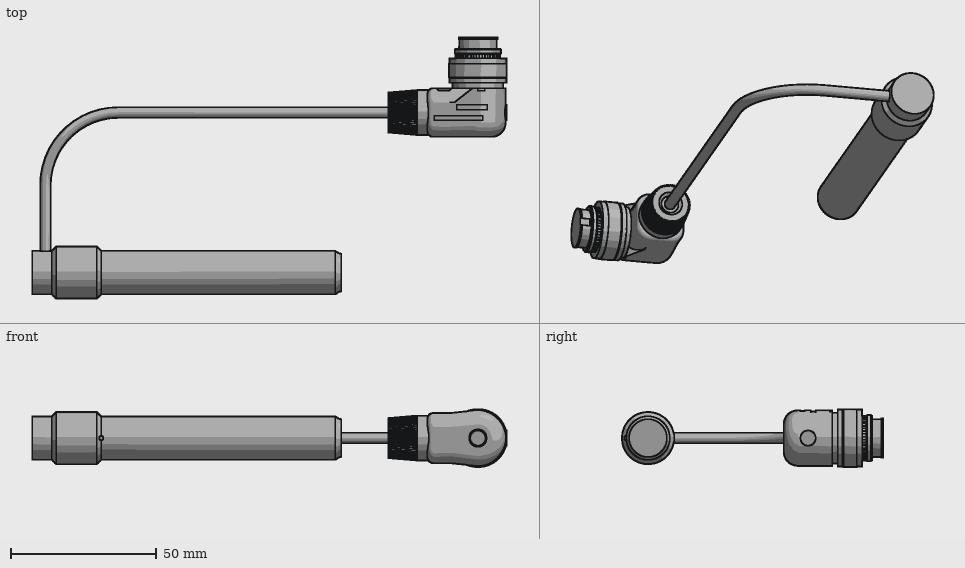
import cadquery as cq
import math

SENSOR_LENGTH = 106.3
SENSOR_DIA = 15.0
SENSOR_TIP_DIA = 13.0
SENSOR_TIP_LENGTH = 2.0
SENSOR_TIP_BULGE = 0.2
COLLAR_DIA = 18.0
COLLAR_START = 6.8
COLLAR_END = 23.8
LAMP_HOLE_DIA = 1.5
LAMP_HOLE_DEPTH = 0.5

CABLE_DIA = 3.7
CABLE_X = 4.6
CABLE_BEND_RADIUS = 25.0
CABLE_RUN_Y = 55.0
CABLE_SENSOR_INSERT = 3.0
CABLE_GRIP_INSERT = 10.0

PLUG_X = 153.24
GRIP_START = 122.5
GRIP_END = 132.4
GRIP_TIP_DIA = 13.8
GRIP_DIA = 15.5
GRIP_CHAMFER = 0.5
FLUTE_COUNT = 60
FLUTE_DEPTH = 0.5
MOUTH_DIA = 8.21
MOUTH_FLOOR_DIA = 6.0
MOUTH_DEPTH = 1.0

LEG_START = 135.9
LEG_HALF_HEIGHT = 8.65
LEG_HALF_WIDTH = 8.4
LEG_CORNER_RADIUS = 4.9
LEG_END_RADIUS = 2.0
FLARE_START = 143.8
ELBOW_DIA = 19.2
GUSSET_FOOT_X = 145.2
GUSSET_TOP_X = 151.4

BUTTON_DIA = 5.25
BUTTON_HEIGHT = 0.3
RING_OUTER_DIA = 6.0
RING_INNER_DIA = 5.25
RING_DEPTH = 0.2
MARK_DEPTH = 0.3
MARKS = ((138.2, 154.9, 52.3, 53.9), (145.9, 156.4, 56.0, 57.7))
INDEX_LENGTH = 2.4
INDEX_WIDTH = 1.0
EDGE_NOTCH_X = 141.6
EDGE_NOTCH_LENGTH = 5.4
EDGE_NOTCH_DEPTH = 1.0
EDGE_NOTCH_FLOOR_Z = 5.0

NECK_DIA = 17.5
NUT_START = 65.2
NUT_END = 73.6
TOOTHED_DIA = 15.5
RING_START = 75.0
RING_END = 77.0
RING_DIA = 16.0
RING_CHAMFER = 0.4
TOOTH_COUNT = 24
TOOTH_GAP_WIDTH = 1.0
TOOTH_GAP_DEPTH = 0.5
TIP_DIA = 13.5
TIP_GROOVE_DEPTH = 0.2
TIP_LIP = 0.6
PLUG_END = 80.8
KEY_WIDTH = 2.5
KEY_LENGTH = 3.2
KEY_DEPTH = 0.4

NUT_DIA = 20.0
NUT_END_DIA = 19.7
NUT_BAND_START = 67.2
NUT_BAND_END = 71.7
NUT_TAPER = 0.4

LEG_BACK_Y = CABLE_RUN_Y + LEG_HALF_WIDTH
LEG_FRONT_Y = CABLE_RUN_Y - LEG_HALF_WIDTH


def rod_x(diameter, start, end, y=CABLE_RUN_Y):
    """Cylinder along X between two X positions."""
    return cq.Workplane("YZ", origin=(start, y, 0)).circle(diameter / 2).extrude(end - start)


def rod_y(diameter, start, end, x=PLUG_X):
    """Cylinder along Y between two Y positions."""
    return cq.Workplane("XZ", origin=(x, start, 0)).circle(diameter / 2).extrude(start - end)


def box_between(x_range, y_range, z_range):
    """Box given by its limits along each axis."""
    spans = [high - low for low, high in (x_range, y_range, z_range)]
    corner = (x_range[0], y_range[0], z_range[0])
    return cq.Workplane("XY").box(*spans, centered=False).translate(corner)


def make_cable():
    """Constant round section swept along two straights and a quarter bend."""
    bend_start = CABLE_RUN_Y - CABLE_BEND_RADIUS
    bend_end_x = CABLE_X + CABLE_BEND_RADIUS
    inner_reach = CABLE_BEND_RADIUS * (1 - math.sqrt(0.5))
    start = (CABLE_X, SENSOR_DIA / 2 - CABLE_SENSOR_INSERT)
    path = (
        cq.Workplane("XY").moveTo(*start).lineTo(CABLE_X, bend_start)
        .threePointArc((CABLE_X + inner_reach, CABLE_RUN_Y - inner_reach), (bend_end_x, CABLE_RUN_Y))
        .lineTo(GRIP_START + CABLE_GRIP_INSERT, CABLE_RUN_Y)
    )
    return cq.Workplane("XZ", origin=(*start, 0)).circle(CABLE_DIA / 2).sweep(path)


def make_sensor(cable):
    """Round bar with a bevelled collar, a tapered tip, a lamp hole and the cable socket."""
    radius = SENSOR_DIA / 2
    bevel = (COLLAR_DIA - SENSOR_DIA) / 2
    sensor = (
        cq.Workplane("XY").moveTo(0, 0).lineTo(0, radius)
        .lineTo(COLLAR_START, radius)
        .lineTo(COLLAR_START + bevel, COLLAR_DIA / 2)
        .lineTo(COLLAR_END - bevel, COLLAR_DIA / 2)
        .lineTo(COLLAR_END, radius)
        .lineTo(SENSOR_LENGTH - SENSOR_TIP_LENGTH, radius)
        .sagittaArc((SENSOR_LENGTH, SENSOR_TIP_DIA / 2), -SENSOR_TIP_BULGE)
        .lineTo(SENSOR_LENGTH, 0).close()
        .revolve(360, (0, 0, 0), (1, 0, 0))
    )
    lamp_hole = rod_y(LAMP_HOLE_DIA, -COLLAR_DIA / 2, LAMP_HOLE_DEPTH - radius, COLLAR_END)
    return sensor.cut(lamp_hole).cut(cable)


def make_flared_prism(inset=0.0):
    """Leg and elbow outline in XZ, carried from front to back; inset shrinks the outline."""
    height = LEG_HALF_HEIGHT - inset
    radius = ELBOW_DIA / 2 - inset
    run = PLUG_X - FLARE_START
    angle = math.atan2(height, -run) - math.acos(radius / math.hypot(run, height))
    tangent_x = PLUG_X + radius * math.cos(angle)
    tangent_z = radius * math.sin(angle)
    return (
        cq.Workplane("XZ", origin=(0, LEG_BACK_Y, 0))
        .moveTo(LEG_START, -height).lineTo(FLARE_START, -height).lineTo(tangent_x, -tangent_z)
        .threePointArc((PLUG_X + radius, 0), (tangent_x, tangent_z))
        .lineTo(FLARE_START, height).lineTo(LEG_START, height).close()
        .extrude(2 * LEG_HALF_WIDTH)
    )


def make_elbow():
    """Leg and elbow with rounded long edges and a rounded leg end."""
    elbow = make_flared_prism()
    elbow = elbow.faces("<Y").edges("not <X").fillet(LEG_CORNER_RADIUS)
    round_center_y = LEG_BACK_Y - LEG_CORNER_RADIUS
    round_center_z = LEG_HALF_HEIGHT - LEG_CORNER_RADIUS
    corner = (
        cq.Workplane("XY", origin=(0, 0, round_center_z))
        .moveTo(LEG_START, round_center_y).lineTo(GUSSET_FOOT_X, round_center_y)
        .lineTo(GUSSET_TOP_X, LEG_BACK_Y).lineTo(LEG_START, LEG_BACK_Y).close()
        .extrude(ELBOW_DIA)
        .cut(
            cq.Workplane("YZ", origin=(LEG_START, round_center_y, round_center_z))
            .circle(LEG_CORNER_RADIUS).extrude(PLUG_X - LEG_START)
        )
    )
    elbow = elbow.cut(corner).cut(corner.mirror("XY"))
    return elbow.faces("<X").edges().fillet(LEG_END_RADIUS)


def flute_wire(x, outer_radius):
    """Star-shaped section of the fluted grip: sharp ridges with a V flute between each pair."""
    points = []
    for i in range(2 * FLUTE_COUNT):
        radius = outer_radius - FLUTE_DEPTH * (i % 2)
        angle = math.pi * i / FLUTE_COUNT
        points.append(cq.Vector(x, CABLE_RUN_Y + radius * math.cos(angle), radius * math.sin(angle)))
    return cq.Wire.makePolygon(points, close=True)


def make_grip():
    """Tapered, fluted cable grip with a plain collar that runs into the leg."""
    tip_radius = GRIP_TIP_DIA / 2
    radius = GRIP_DIA / 2
    fluted = cq.Solid.makeLoft([flute_wire(GRIP_START, tip_radius), flute_wire(GRIP_END, radius)], True)
    chamfered_envelope = rod_x(GRIP_DIA, GRIP_START, GRIP_END).faces("<X").chamfer(
        radius - tip_radius + GRIP_CHAMFER, GRIP_CHAMFER
    )
    collar = rod_x(GRIP_DIA, GRIP_END, LEG_START + LEG_END_RADIUS)
    return chamfered_envelope.intersect(cq.Workplane(fluted)).union(collar)


def make_mouth():
    """Tapered recess around the cable in the end of the grip."""
    return (
        cq.Workplane("YZ", origin=(GRIP_START, CABLE_RUN_Y, 0)).circle(MOUTH_DIA / 2)
        .workplane(offset=MOUTH_DEPTH).circle(MOUTH_FLOOR_DIA / 2).loft()
    )


def make_plug():
    """Stepped round plug: neck, nut seat with teeth, ring and keyed tip."""
    tip = rod_y(TIP_DIA, RING_END, PLUG_END)
    groove = rod_y(TIP_DIA, RING_END, PLUG_END - TIP_LIP)
    groove = groove.cut(rod_y(TIP_DIA - 2 * TIP_GROOVE_DEPTH, RING_END, PLUG_END))
    key_x = PLUG_X - TIP_DIA / 2
    half_key = KEY_WIDTH / 2
    key = box_between((key_x, key_x + KEY_DEPTH), (PLUG_END - KEY_LENGTH, PLUG_END), (-half_key, half_key))
    tip = tip.cut(groove).cut(key)

    seat = rod_y(TOOTHED_DIA, NUT_START, RING_START)
    gap_x = PLUG_X + TOOTHED_DIA / 2
    half_gap = TOOTH_GAP_WIDTH / 2
    gap_depth = (gap_x - TOOTH_GAP_DEPTH, gap_x + TOOTH_GAP_DEPTH)
    gap = box_between(gap_depth, (NUT_END, RING_START), (-half_gap, half_gap)).val()
    axis = ((PLUG_X, 0, 0), (PLUG_X, 1, 0))
    gaps = [gap.rotate(*axis, 360 * i / TOOTH_COUNT) for i in range(TOOTH_COUNT)]
    seat = cq.Workplane(seat.val().cut(*gaps))

    ring = rod_y(RING_DIA, RING_START, RING_END).edges().chamfer(RING_CHAMFER)
    neck = rod_y(NECK_DIA, LEG_BACK_Y, NUT_START)
    return neck.union(seat).union(ring).union(tip)


def make_surface_marks():
    """Shallow marks cut to an even depth into the top face, and the index notch by the neck."""
    floor = make_flared_prism(MARK_DEPTH)
    index_x = (PLUG_X, PLUG_X + INDEX_LENGTH)
    marks = box_between(index_x, (LEG_BACK_Y - INDEX_WIDTH, LEG_BACK_Y), (0, ELBOW_DIA))
    for start_x, end_x, low_y, high_y in MARKS:
        marks = marks.union(box_between((start_x, end_x), (low_y, high_y), (0, ELBOW_DIA)))
    return marks.cut(floor)


def make_edge_notch():
    """Notch with 45 degree ends, open to the back and the top of the leg."""
    half_mouth = EDGE_NOTCH_LENGTH / 2
    half_floor = half_mouth - EDGE_NOTCH_DEPTH
    floor_y = LEG_BACK_Y - EDGE_NOTCH_DEPTH
    return (
        cq.Workplane("XY", origin=(EDGE_NOTCH_X, 0, EDGE_NOTCH_FLOOR_Z))
        .moveTo(-half_mouth, LEG_BACK_Y).lineTo(-half_floor, floor_y)
        .lineTo(half_floor, floor_y).lineTo(half_mouth, LEG_BACK_Y).close()
        .extrude(LEG_HALF_HEIGHT)
    )


def make_connector(cable):
    """Elbow, grip and plug in one piece, with its marks, button and cable socket."""
    button_x = PLUG_X + ELBOW_DIA / 2
    button = rod_x(BUTTON_DIA, PLUG_X, button_x + BUTTON_HEIGHT)
    ring_groove = rod_y(RING_OUTER_DIA, LEG_FRONT_Y, LEG_FRONT_Y + RING_DEPTH)
    ring_groove = ring_groove.cut(rod_y(RING_INNER_DIA, LEG_FRONT_Y, LEG_FRONT_Y + RING_DEPTH))
    connector = make_elbow().union(make_grip()).union(make_plug()).union(button)
    connector = connector.cut(make_surface_marks()).cut(ring_groove).cut(make_edge_notch())
    return connector.cut(make_mouth()).cut(cable)


def make_nut():
    """Coupling nut: raised middle band between two slightly smaller ends, bored for the plug."""
    end_radius = NUT_END_DIA / 2
    radius = NUT_DIA / 2
    bore = TOOTHED_DIA / 2
    return (
        cq.Workplane("XY", origin=(PLUG_X, 0, 0))
        .moveTo(bore, NUT_START).lineTo(end_radius, NUT_START)
        .lineTo(end_radius, NUT_BAND_START - NUT_TAPER).lineTo(radius, NUT_BAND_START)
        .lineTo(radius, NUT_BAND_END).lineTo(end_radius, NUT_BAND_END)
        .lineTo(end_radius, NUT_END).lineTo(bore, NUT_END).close()
        .revolve(360, (0, 0, 0), (0, 1, 0))
    )


cable = make_cable()
sensor = make_sensor(cable)
connector = make_connector(cable)
nut = make_nut()

result = cq.Compound.makeCompound([sensor.val(), cable.val(), connector.val(), nut.val()])